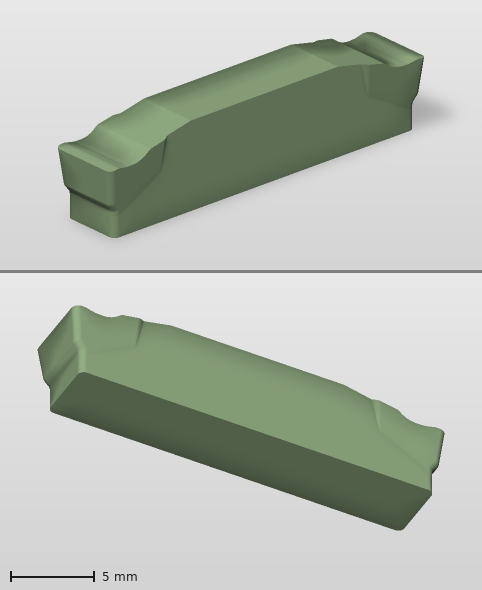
import cadquery as cq

tolerance = 0.03

length = 25.25
height = 5.95
shank_half_width = 2.12
blank_width = 7.58
corner_radius = 0.4

edge_z = 4.67
relief_setback, relief_z = 0.25, 2.27
foot_setback, foot_z = 0.63, 1.77
step_radius = 0.25

land_start = (0.58, 4.75)
land_end = (0.75, 4.75)
ramp_middle = (1.14, 4.67)
groove_start = (1.45, 4.62)
groove_floor_end = (1.97, 4.62)
groove_middle = (2.63, 4.77)
groove_end = (3.13, 5.1)
crest_middle = (3.23, 5.18)
crest_end = (3.35, 5.23)
top_setback = 6.77

flank_base = 2.03
flank_rise = 0.104
flank_clearance = 0.057

flare_slope = 0.6
flare_foot_setback, flare_foot_z = 4.4, 3.33
flare_lean = 0.23
flare_radius = 0.5


def insert_blank():
    """Extrude the side outline of the -Y half across the blank width and mirror it to the +Y half."""
    def at(point):
        setback, z = point
        return (setback - length / 2, z)

    outline = cq.Workplane("YZ").moveTo(0, 0)
    for point in [
        (foot_setback, 0),
        (foot_setback, foot_z),
        (relief_setback, relief_z),
        (0, edge_z),
        land_start,
        land_end,
        ramp_middle,
        groove_start,
        groove_floor_end,
    ]:
        outline = outline.lineTo(*at(point))
    outline = outline.threePointArc(at(groove_middle), at(groove_end))
    outline = outline.threePointArc(at(crest_middle), at(crest_end))
    outline = outline.lineTo(*at((top_setback, height))).lineTo(0, height).close()
    half = outline.extrude(blank_width / 2, both=True)
    return half.union(half.mirror("XZ"))


def round_end_corners(body):
    """Round the side corners of the end faces, from the seat up to the cutting edge."""
    def is_corner(edge):
        box = edge.BoundingBox()
        at_end = abs(edge.Center().y) > length / 2 - foot_setback - tolerance
        rises_to_edge = box.zmin < relief_z + tolerance and box.zmax < edge_z + tolerance
        on_one_side = box.xmin * box.xmax > 0
        return at_end and rises_to_edge and on_one_side

    corners = [edge for edge in body.edges().vals() if is_corner(edge)]
    return body.newObject(corners).fillet(corner_radius)


def round_step_bends(body):
    """Round the two bends of the step between the relief and the foot at each end."""
    def is_bend(edge):
        box = edge.BoundingBox()
        across = box.xmin * box.xmax < 0
        at_end = abs(edge.Center().y) > length / 2 - foot_setback - tolerance
        return across and at_end and foot_z - tolerance < edge.Center().z < relief_z + tolerance

    bends = [edge for edge in body.edges().vals() if is_bend(edge)]
    return body.newObject(bends).fillet(step_radius)


def wedge_section(z):
    """Return the corners of the -Y head wedge at height z."""
    front_half_width = flank_base + flank_rise * z
    flare_setback = flare_foot_setback + flare_lean * (z - flare_foot_z)
    flare_at_end = shank_half_width + flare_slope * flare_setback
    back_setback = (flare_at_end - front_half_width) / (flare_slope - flank_clearance)
    back_half_width = front_half_width - flank_clearance * back_setback
    tip_setback = flare_at_end / flare_slope
    corners = [
        (-front_half_width, 0),
        (front_half_width, 0),
        (back_half_width, back_setback),
        (0, tip_setback),
        (-back_half_width, back_setback),
    ]
    return [(x, setback - length / 2) for x, setback in corners]


def head_wedge():
    """Build the -Y head wedge from flat faces and round its flank-to-flare edges."""
    bottom = [cq.Vector(x, y, 0) for x, y in wedge_section(0)]
    top = [cq.Vector(x, y, height) for x, y in wedge_section(height)]
    outlines = [bottom, top]
    for index in range(len(bottom)):
        before = index - 1
        outlines.append([bottom[before], bottom[index], top[index], top[before]])
    faces = [cq.Face.makeFromWires(cq.Wire.makePolygon(outline, close=True)) for outline in outlines]
    wedge = cq.Workplane("XY").newObject([cq.Solid.makeSolid(cq.Shell.makeShell(faces))])

    def is_flare_edge(edge):
        center = edge.Center()
        box = edge.BoundingBox()
        behind_end_face = center.y > tolerance - length / 2
        upright = box.zmax - box.zmin > height / 2
        return abs(center.x) > tolerance and behind_end_face and upright

    flare_edges = [edge for edge in wedge.edges().vals() if is_flare_edge(edge)]
    return wedge.newObject(flare_edges).fillet(flare_radius)


shank = cq.Workplane("XY").box(2 * shank_half_width, length, height, centered=(True, True, False))
near_wedge = head_wedge()
envelope = shank.union(near_wedge).union(near_wedge.mirror("XZ"))

blank = insert_blank()
trimmed = blank.intersect(envelope)
result = round_step_bends(round_end_corners(trimmed))